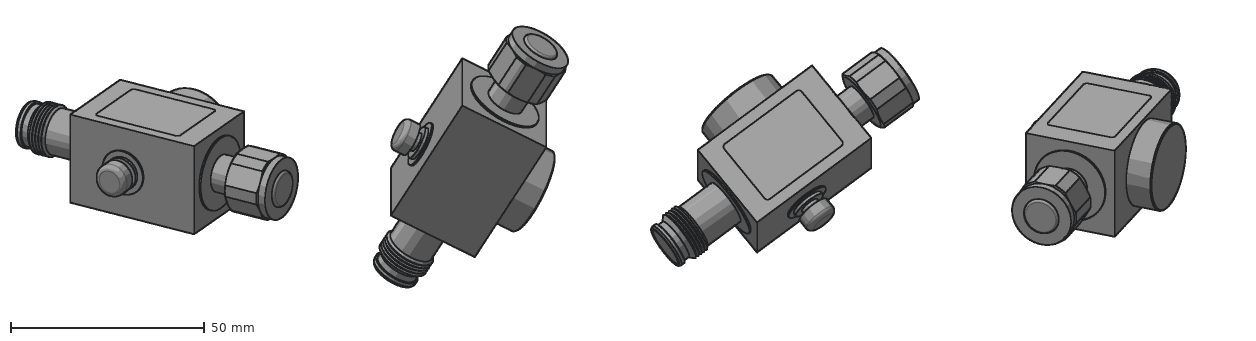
import cadquery as cq


OVERALL_LENGTH = 77.5

BLOCK_LENGTH = 37.5
BLOCK_DEPTH = 25.0
BLOCK_HEIGHT = 25.2
FLANGE_RADIUS = 10.0
FLANGE_THICKNESS = 0.5

LABEL_LENGTH = 25.4
LABEL_WIDTH = 19.0
LABEL_THICKNESS = 0.5
LABEL_CORNER_RADIUS = 1.0

BOSS_OFFSET_X = -0.5
BOSS_RADIUS = 11.6
BOSS_HEIGHT = 7.05
BOSS_CHAMFER = 0.3

STUD_OFFSET_X = -2.6
STUD_WASHER_RADIUS = 6.1
STUD_WASHER_TOP = 0.5
STUD_HEAD_RADIUS = 4.5
STUD_COLLAR_TOP = 1.4
STUD_NECK_RADIUS = 2.55
STUD_NECK_TOP = 2.95
STUD_HEIGHT = 7.05
STUD_HEAD_FILLET = 1.4

SOCKET_LENGTH = 20.4
SOCKET_RADIUS = 6.3
RIM_LENGTH = 1.55
RIM_CHAMFER_LENGTH = 0.55
RIM_CHAMFER_DEPTH = 0.2
TIP_RECESS_RADIUS = 5.35
TIP_RECESS_DEPTH = 0.1
GROOVE_RADIUS = 5.7
GROOVE_LENGTH = 1.85
THREAD_CREST_RADIUS = 7.0
THREAD_PITCH = 0.9
THREAD_DEPTH = 0.5
THREAD_CRESTS = 5

PLUG_LENGTH = OVERALL_LENGTH - BLOCK_LENGTH - SOCKET_LENGTH
PLUG_RADIUS = 5.0
PLUG_TIP_LENGTH = 0.7
PLUG_TIP_RADIUS = 4.9
PLUG_TIP_FILLET = 0.6
NUT_START = 6.6
HEX_LENGTH = 10.2
HEX_FLATS = 16.7
HEX_CORNER_RADIUS = 8.8
HEX_SIDES = 6
HEX_TURN = 180 / HEX_SIDES
HEX_BACK_RADIUS = 7.9
HEX_BACK_CHAMFER = 0.5
HEX_FRONT_CHAMFER = 0.2

HALF_LENGTH = BLOCK_LENGTH / 2
HALF_DEPTH = BLOCK_DEPTH / 2


def turned_on_x(profile):
    """Revolve a (distance from the connector axis over x) profile about X."""
    return profile.close().revolve(360, (0, 0, 0), (1, 0, 0))


def make_label():
    """Thin plate with rounded corners."""
    return (
        cq.Workplane("XY", origin=(BOSS_OFFSET_X, 0, BLOCK_HEIGHT / 2 - LABEL_THICKNESS))
        .rect(LABEL_LENGTH, LABEL_WIDTH)
        .extrude(LABEL_THICKNESS)
        .edges("|Z")
        .fillet(LABEL_CORNER_RADIUS)
    )


def make_block():
    """Plain block with a thin round flange on each connector face."""
    block = cq.Workplane("XY").box(BLOCK_LENGTH, BLOCK_DEPTH, BLOCK_HEIGHT)
    flanges = (
        cq.Workplane("YZ")
        .circle(FLANGE_RADIUS)
        .extrude(HALF_LENGTH + FLANGE_THICKNESS, both=True)
    )
    return block.union(flanges)


def make_boss():
    """Plain round boss with a chamfered rim."""
    return (
        cq.Workplane("XZ", origin=(BOSS_OFFSET_X, HALF_DEPTH, 0))
        .circle(BOSS_RADIUS)
        .extrude(-BOSS_HEIGHT)
        .faces(">Y")
        .chamfer(BOSS_CHAMFER)
    )


def make_stud():
    """Stepped stud: washer, collar, narrow neck and rounded head."""
    face = cq.Workplane("XZ", origin=(STUD_OFFSET_X, -HALF_DEPTH, 0))
    washer = face.circle(STUD_WASHER_RADIUS).extrude(STUD_WASHER_TOP)
    collar = face.circle(STUD_HEAD_RADIUS).extrude(STUD_COLLAR_TOP)
    neck = face.circle(STUD_NECK_RADIUS).extrude(STUD_NECK_TOP)
    head = (
        face.workplane(offset=STUD_NECK_TOP)
        .circle(STUD_HEAD_RADIUS)
        .extrude(STUD_HEIGHT - STUD_NECK_TOP)
        .faces("<Y")
        .fillet(STUD_HEAD_FILLET)
    )
    return washer.union(collar).union(neck).union(head)


def make_socket():
    """Threaded connector: recessed tip, rim, groove, 45 degree cone, V thread and barrel."""
    tip = -HALF_LENGTH - SOCKET_LENGTH
    groove_start = tip + RIM_LENGTH
    cone_start = groove_start + GROOVE_LENGTH
    first_crest = cone_start + THREAD_CREST_RADIUS - GROOVE_RADIUS
    last_crest = first_crest + (THREAD_CRESTS - 1) * THREAD_PITCH
    thread_end = last_crest + THREAD_CREST_RADIUS - SOCKET_RADIUS

    profile = (
        cq.Workplane("XY")
        .moveTo(tip + TIP_RECESS_DEPTH, 0)
        .lineTo(tip + TIP_RECESS_DEPTH, TIP_RECESS_RADIUS)
        .lineTo(tip, TIP_RECESS_RADIUS)
        .lineTo(tip, SOCKET_RADIUS - RIM_CHAMFER_DEPTH)
        .lineTo(tip + RIM_CHAMFER_LENGTH, SOCKET_RADIUS)
        .lineTo(groove_start, SOCKET_RADIUS)
        .lineTo(groove_start, GROOVE_RADIUS)
        .lineTo(cone_start, GROOVE_RADIUS)
        .lineTo(first_crest, THREAD_CREST_RADIUS)
    )
    for turn in range(1, THREAD_CRESTS):
        crest = first_crest + turn * THREAD_PITCH
        profile = profile.lineTo(crest - THREAD_PITCH / 2, THREAD_CREST_RADIUS - THREAD_DEPTH)
        profile = profile.lineTo(crest, THREAD_CREST_RADIUS)
    profile = (
        profile.lineTo(thread_end, SOCKET_RADIUS)
        .lineTo(-HALF_LENGTH, SOCKET_RADIUS)
        .lineTo(-HALF_LENGTH, 0)
    )
    return turned_on_x(profile)


def make_hex():
    """Hexagon with flats up and down, its corners turned round and chamfered."""
    start = HALF_LENGTH + NUT_START
    end = start + HEX_LENGTH
    hexagon = (
        cq.Workplane("YZ", origin=(start, 0, 0))
        .transformed(rotate=(0, 0, HEX_TURN))
        .polygon(HEX_SIDES, HEX_FLATS, circumscribed=True)
        .extrude(HEX_LENGTH)
    )
    envelope = turned_on_x(
        cq.Workplane("XY")
        .moveTo(start, 0)
        .lineTo(start, HEX_BACK_RADIUS)
        .lineTo(start + HEX_BACK_CHAMFER, HEX_CORNER_RADIUS)
        .lineTo(end - HEX_FRONT_CHAMFER, HEX_CORNER_RADIUS)
        .lineTo(end, HEX_FLATS / 2)
        .lineTo(end, 0)
    )
    return hexagon.intersect(envelope)


def make_plug():
    """Plug connector: shaft, hexagonal nut, round collar and rounded tip."""
    face = cq.Workplane("YZ", origin=(HALF_LENGTH, 0, 0))
    collar_start = NUT_START + HEX_LENGTH
    collar_end = PLUG_LENGTH - PLUG_TIP_LENGTH
    shaft = face.circle(PLUG_RADIUS).extrude(collar_start)
    collar = (
        face.workplane(offset=collar_start)
        .circle(HEX_FLATS / 2)
        .extrude(collar_end - collar_start)
    )
    tip = (
        face.workplane(offset=collar_end)
        .circle(PLUG_TIP_RADIUS)
        .extrude(PLUG_TIP_LENGTH)
        .faces(">X")
        .fillet(PLUG_TIP_FILLET)
    )
    return shaft.union(make_hex()).union(collar).union(tip)


def make_housing(label):
    """Block with its boss, stud and connectors, recessed to take the label."""
    return (
        make_block()
        .union(make_boss())
        .union(make_stud())
        .union(make_socket())
        .union(make_plug())
        .cut(label)
    )


label = make_label()
housing = make_housing(label)

result = cq.Compound.makeCompound([housing.val(), label.val()])